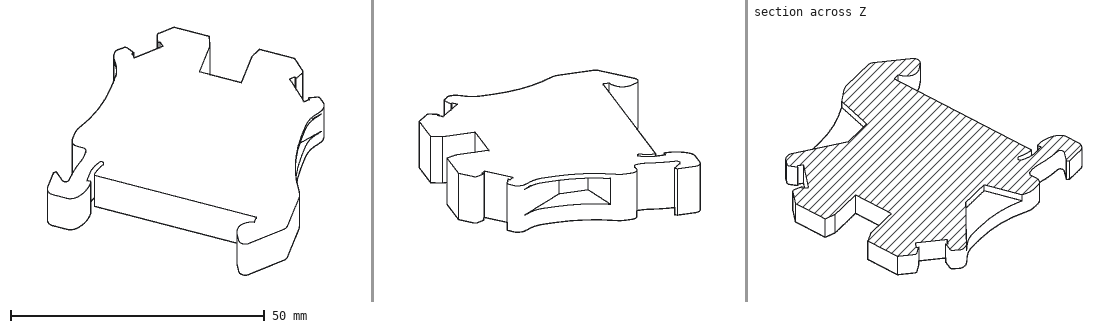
import cadquery as cq
import math

WIDTH = 48.0
HEIGHT = 46.85
THICKNESS = 10.15
SIDE = WIDTH / 2

WAIST_X = 19.72
WAIST_TOP_Y = 31.36
WAIST_BOTTOM_Y = 28.93
FLANK_RADIUS = 24.4

SLOT_X = 4.34
SLOT_FLOOR_Y = 37.9
SLOT_FLARE = 0.85
SLOT_FLARE_Y = 44.66
NOTCH_CENTER = (15.37, 39.46)
NOTCH_HALF_SPAN = 2.23
NECK_TOP = (21.08, 35.3)
CHEEK_BOTTOM = (21.52, 36.1)
CHEEK_X = 21.7
CHEEK_SIDE_Y = (36.8, 37.25)
CHEEK_TOP = (21.24, 38.2)

RAIL_SEAT_Y = 7.1
LOBE_X = -23.02
LOBE_BOTTOM_Y = 12.88
LOBE_RADIUS = 1.42
LOBE_FLANK_Y = 17.43
RIGHT_FLANK_Y = 15.8
SIDE_TOP_Y = 14.3
LOBE_ARC_TOP_Y = 15.66
FLANK_MID_Y = (WAIST_BOTTOM_Y + LOBE_FLANK_Y) / 2
FOOT_RADIUS = 1.54
SOLE_RADIUS = 1.25
SIDE_CORNER_RADIUS = 1.54

POCKET_Z = (3.5, 9.15)
POCKET_TOP_Y = CHEEK_BOTTOM[1]
POCKET_FLOOR_X = 14.4
POCKET_FLOOR_Y = (20.58, 26.64)
POCKET_MOUTH_BOTTOM = (22.1, 18.41)


def flank_x(y):
    """Distance of the concave flank from the symmetry plane at height y."""
    drop = WAIST_BOTTOM_Y - y
    return WAIST_X + FLANK_RADIUS - math.sqrt(FLANK_RADIUS**2 - drop**2)


def on_circle(center, radius, degrees):
    """Point on a circle at an angle measured from +X."""
    angle = math.radians(degrees)
    return (center[0] + radius * math.cos(angle), center[1] + radius * math.sin(angle))


def across_notch(point):
    """Mirror a point in the 45-degree centre line of the right marker notch."""
    center_x, center_y = NOTCH_CENTER
    return (center_x + point[1] - center_y, center_y + point[0] - center_x)


def mirrored(solid):
    """Copy of a solid reflected in the symmetry plane of the head."""
    return solid.mirror("YZ")


def head_half():
    """Right half of the head, from the symmetry plane to the waist."""
    center_x, center_y = NOTCH_CENTER
    notch_end = (center_x - NOTCH_HALF_SPAN, center_y + NOTCH_HALF_SPAN)
    lip_inner = (14.0, 42.5)
    lip_tip = (14.29, 42.17)
    lip_side = (15.0, 43.68)
    lip_bulge = (15.06, 44.2)
    lip_top = (14.72, 44.64)
    crown_side = (12.91, 46.45)
    crown_end = (12.5, HEIGHT)
    cheek_side_bottom, cheek_side_top = CHEEK_SIDE_Y
    cheek_upper_bend = (21.57, 37.78)
    cheek_lower_bend = (21.66, 36.43)
    neck_bend = (20.05, 33.45)
    return (
        cq.Workplane("XY")
        .moveTo(0, WAIST_BOTTOM_Y)
        .lineTo(0, SLOT_FLOOR_Y)
        .lineTo(SLOT_X, SLOT_FLOOR_Y)
        .lineTo(SLOT_X, SLOT_FLARE_Y)
        .lineTo(SLOT_X + SLOT_FLARE, HEIGHT)
        .lineTo(*crown_end)
        .lineTo(*crown_side)
        .lineTo(*lip_top)
        .threePointArc(lip_bulge, lip_side)
        .lineTo(*lip_tip)
        .lineTo(*lip_inner)
        .lineTo(*notch_end)
        .lineTo(*across_notch(notch_end))
        .lineTo(*across_notch(lip_inner))
        .lineTo(*across_notch(lip_tip))
        .lineTo(*across_notch(lip_side))
        .threePointArc(across_notch(lip_bulge), across_notch(lip_top))
        .lineTo(*CHEEK_TOP)
        .threePointArc(cheek_upper_bend, (CHEEK_X, cheek_side_top))
        .lineTo(CHEEK_X, cheek_side_bottom)
        .threePointArc(cheek_lower_bend, CHEEK_BOTTOM)
        .lineTo(*NECK_TOP)
        .threePointArc(neck_bend, (WAIST_X, WAIST_TOP_Y))
        .lineTo(WAIST_X, WAIST_BOTTOM_Y)
        .close()
        .extrude(THICKNESS)
    )


def lower_body_left(outline):
    """Trace the left flank, lobe, hooked foot and spring arm, down to the rail seat."""
    lobe_flank = (-flank_x(LOBE_FLANK_Y), LOBE_FLANK_Y)
    lobe_shoulder = (-22.92, 16.55)
    lobe_center = (LOBE_X + LOBE_RADIUS, LOBE_BOTTOM_Y + LOBE_RADIUS)
    outline = (
        outline
        .threePointArc((-flank_x(FLANK_MID_Y), FLANK_MID_Y), lobe_flank)
        .threePointArc(lobe_shoulder, (LOBE_X, LOBE_ARC_TOP_Y))
        .lineTo(LOBE_X, lobe_center[1])
        .threePointArc(on_circle(lobe_center, LOBE_RADIUS, 225), (lobe_center[0], LOBE_BOTTOM_Y))
    )

    arm_corner_start = (-20.25, LOBE_BOTTOM_Y)
    arm_corner_middle = (-19.77, 12.65)
    arm_corner_end = (-19.55, 12.12)
    arm_top = (-19.5, 11.37)
    arm_bend = (-19.56, 10.4)
    arm_upper = (-19.74, 9.57)
    arm_middle = (-20.27, 7.1)
    arm_bottom = (-20.52, 4.65)
    hook_root = (-21.15, 3.8)
    hook_start = (-21.85, 4.05)
    outline = (
        outline
        .lineTo(*arm_corner_start)
        .threePointArc(arm_corner_middle, arm_corner_end)
        .lineTo(*arm_top)
        .threePointArc(arm_bend, arm_upper)
        .threePointArc(arm_middle, arm_bottom)
        .threePointArc(hook_root, hook_start)
    )

    hook_end = (-23.45, 5.57)
    hook_tip = (-23.6, 5.63)
    hook_side_y = 5.18
    corner_center = (-SIDE + FOOT_RADIUS, FOOT_RADIUS)
    toe_start = (-19.2, 0)
    toe_middle = (-18.35, 0.32)
    toe_end = (-17.62, 0.97)
    toe_flat_end = (-17.4, 1.25)
    heel_middle = (-16.63, 2.7)
    heel_end = (-16.25, 5.35)
    outline = (
        outline
        .lineTo(*hook_end)
        .lineTo(*hook_tip)
        .lineTo(-SIDE, hook_side_y)
        .lineTo(-SIDE, corner_center[1])
        .threePointArc(on_circle(corner_center, FOOT_RADIUS, 225), (corner_center[0], 0))
        .lineTo(*toe_start)
        .threePointArc(toe_middle, toe_end)
        .lineTo(*toe_flat_end)
        .threePointArc(heel_middle, heel_end)
    )

    ledge_tip = (-16.45, 5.5)
    ledge_y = 5.4
    slit_outer_x = -17.12
    slit_outer_y = 7.9
    slit_outer_bend = (-16.75, 9.26)
    slit_end_outer = (-16.14, 10.5)
    slit_end_tip = (-15.6, 10.76)
    slit_end_inner = (-15.28, 10.2)
    slit_inner_bend = (-15.78, 9.0)
    slit_inner_x = -16.14
    slit_inner_y = 7.72
    return (
        outline
        .lineTo(*ledge_tip)
        .lineTo(slit_outer_x, ledge_y)
        .lineTo(slit_outer_x, slit_outer_y)
        .threePointArc(slit_outer_bend, slit_end_outer)
        .threePointArc(slit_end_tip, slit_end_inner)
        .threePointArc(slit_inner_bend, (slit_inner_x, slit_inner_y))
        .lineTo(slit_inner_x, RAIL_SEAT_Y)
    )


def lower_body_right(outline):
    """Trace the rail seat, right foot, right side and right flank, up to the waist."""
    seat_end_x = 17.48
    seat_step_y = 5.84
    nose_upper_middle = (16.1, 5.25)
    nose_upper_end = (15.13, 4.3)
    nose_lower_middle = (14.86, 3.2)
    nose_lower_end = (15.05, 2.16)
    outline = (
        outline
        .lineTo(seat_end_x, RAIL_SEAT_Y)
        .lineTo(seat_end_x, seat_step_y)
        .threePointArc(nose_upper_middle, nose_upper_end)
        .threePointArc(nose_lower_middle, nose_lower_end)
    )

    sole_left_center = (16.95, SOLE_RADIUS)
    sole_right_center = (17.1, SOLE_RADIUS)
    sole_start = on_circle(sole_left_center, SOLE_RADIUS, 216)
    sole_end = on_circle(sole_right_center, SOLE_RADIUS, 315)
    corner_x = SIDE - SIDE_CORNER_RADIUS
    corner_run = corner_x + SIDE_CORNER_RADIUS * math.cos(math.radians(45)) - sole_end[0]
    corner_start_y = sole_end[1] + corner_run
    corner_center = (corner_x, corner_start_y + SIDE_CORNER_RADIUS * math.sin(math.radians(45)))
    outline = (
        outline
        .lineTo(*sole_start)
        .threePointArc(on_circle(sole_left_center, SOLE_RADIUS, 243), (sole_left_center[0], 0))
        .lineTo(sole_right_center[0], 0)
        .threePointArc(on_circle(sole_right_center, SOLE_RADIUS, 292.5), sole_end)
        .lineTo(*on_circle(corner_center, SIDE_CORNER_RADIUS, -45))
        .threePointArc(on_circle(corner_center, SIDE_CORNER_RADIUS, -22.5), (SIDE, corner_center[1]))
    )

    shoulder_middle = (23.85, 15.07)
    shoulder_end = (flank_x(RIGHT_FLANK_Y), RIGHT_FLANK_Y)
    return (
        outline
        .lineTo(SIDE, SIDE_TOP_Y)
        .threePointArc(shoulder_middle, shoulder_end)
        .threePointArc((flank_x(FLANK_MID_Y), FLANK_MID_Y), (WAIST_X, WAIST_BOTTOM_Y))
    )


def lower_body():
    """Lower body with the sprung left foot and the fixed right foot."""
    waist = (
        cq.Workplane("XY")
        .moveTo(WAIST_X, WAIST_BOTTOM_Y)
        .lineTo(-WAIST_X, WAIST_BOTTOM_Y)
    )
    outline = lower_body_right(lower_body_left(waist))
    return outline.close().extrude(THICKNESS)


def wire_entry():
    """Right wire entry pocket, open outward through the flank."""
    z_bottom, z_top = POCKET_Z
    floor_bottom_y, floor_top_y = POCKET_FLOOR_Y
    return (
        cq.Workplane("XY", origin=(0, 0, z_bottom))
        .moveTo(CHEEK_BOTTOM[0], POCKET_TOP_Y)
        .lineTo(POCKET_FLOOR_X, floor_top_y)
        .lineTo(POCKET_FLOOR_X, floor_bottom_y)
        .lineTo(*POCKET_MOUTH_BOTTOM)
        .close()
        .extrude(z_top - z_bottom)
    )


head = head_half()
pocket = wire_entry()
body = lower_body().union(head).union(mirrored(head)).clean()
result = body.cut(pocket).cut(mirrored(pocket))